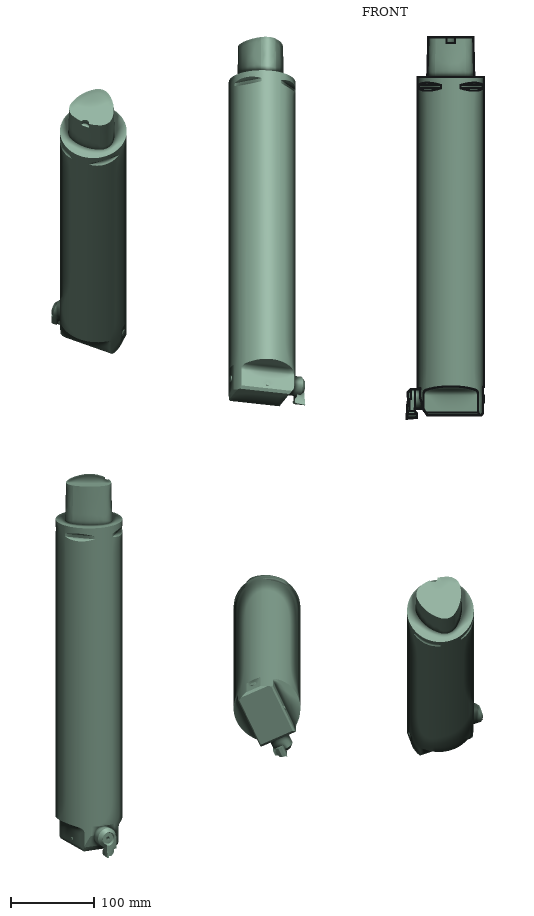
import cadquery as cq
import math

TOTAL_HEIGHT = 458
OVERALL_WIDTH = 93.5
BAR_DIAMETER = 80.0
BAR_RADIUS = BAR_DIAMETER / 2
BAR_BOTTOM = 4.0
COUPLING_HEIGHT = 47.5
SHOULDER_HEIGHT = TOTAL_HEIGHT - COUPLING_HEIGHT

LOBE_REACH = 30.0
FLANK_REACH = 25.5
LOBE_RADIUS = 16.0
HALF_LOBE_PITCH = 60
COUPLING_TAPER = 1.4
DRIVE_NOTCH_DIAMETER = 10.0
DRIVE_NOTCH_HEIGHT = 7.5
DRIVE_NOTCH_CENTRE = 25.0

GROOVE_COUNT = 4
FIRST_GROOVE_ANGLE = 45
GROOVE_HEIGHT = 398.5
GROOVE_DEPTH = 4.5
GROOVE_FLOOR_WIDTH = 3.5
GROOVE_MOUTH_WIDTH = 9.5

HEAD_THICKNESS = 46
FLAT_TOP = 33.5
RUNOUT_TOP = 39.0
RUNOUT_FILLET = 7.0
FLAT_CHAMFER_HEIGHT = 3.5
FLAT_CHAMFER_DEPTH = 2.0

SEAT_X = -36.5
SEAT_TOP = 36.5
SEAT_BOTTOM = 25.0
HEAD_SIDE_X = -32.5
HEAD_SIDE_BOTTOM = 10.5
HEAD_SIDE_BEVEL = 4.5

BACK_FLAT_X = 39.0
BACK_FLAT_TOP = 38.5
BACK_BEVEL = 2.7
BACK_PLUG_DIAMETER = 8.2
SIDE_PLUG_DIAMETER = 4.5
SIDE_PLUG_HEIGHT = 13.0
PLUG_RISE = 1.15

UNIT_DIAMETER = 24.0
UNIT_RADIUS = UNIT_DIAMETER / 2
UNIT_AXIS_HEIGHT = 24.0
UNIT_BACK_X = -43.0
UNIT_RIM_X = -47.5
UNIT_CROWN_X = -52.5
UNIT_CROWN_RADIUS = 25.0
SPOTFACE_DIAMETER = 13.7
SPOTFACE_X = -50.0
SPOTFACE_TAPER = 30
SOCKET_WIDTH = 4.5
SOCKET_DEPTH = 3.5

ARM_SHOULDER_HEIGHT = 9.5
ARM_BOTTOM = 2.0
ARM_FACE_Y = 2.5
ARM_SIDE_Y = -8.0
ARM_FOOT_Y = -3.5
ARM_SLOPE_TOP = 6.0
ARM_FOOT_X = -40.5
ARM_FLARE_TOP = 9.0

TIP_X = BAR_RADIUS - OVERALL_WIDTH
INSERT_SIDE = 13.0
INSERT_THICKNESS = 2.0
INSERT_EDGE_TILT = 5


def polar(radius, degrees):
    angle = math.radians(degrees)
    return radius * math.cos(angle), radius * math.sin(angle)


def coupling():
    """Three lobe arcs and three tangent flank arcs, drawn in towards the top."""
    lobe_centre = LOBE_REACH - LOBE_RADIUS
    flank_radius = (
        lobe_centre**2 - lobe_centre * FLANK_REACH + FLANK_REACH**2 - LOBE_RADIUS**2
    ) / (2 * FLANK_REACH - 2 * LOBE_RADIUS - lobe_centre)
    flank_half_angle = math.degrees(math.asin(
        lobe_centre * math.sin(math.radians(HALF_LOBE_PITCH)) / (flank_radius - LOBE_RADIUS)
    ))
    centre_x, centre_y = polar(flank_radius - FLANK_REACH, 90)
    end_x, end_y = polar(flank_radius, -90 + flank_half_angle)
    joint_x, joint_y = centre_x + end_x, centre_y + end_y
    joint_radius = math.hypot(joint_x, joint_y)
    joint_angle = math.degrees(math.atan2(joint_y, joint_x))

    outline = cq.Workplane("XY").workplane(offset=SHOULDER_HEIGHT)
    outline = outline.moveTo(*polar(joint_radius, -180 - joint_angle))
    for flank_angle in (-90, 30, 150):
        flank_end = polar(joint_radius, flank_angle + 90 + joint_angle)
        lobe_end = polar(joint_radius, flank_angle + 2 * HALF_LOBE_PITCH - 90 - joint_angle)
        outline = outline.threePointArc(polar(FLANK_REACH, flank_angle), flank_end)
        outline = outline.threePointArc(polar(LOBE_REACH, flank_angle + HALF_LOBE_PITCH), lobe_end)
    body = outline.close().extrude(COUPLING_HEIGHT, taper=COUPLING_TAPER)

    notch = (
        cq.Workplane("XY").workplane(offset=TOTAL_HEIGHT - DRIVE_NOTCH_HEIGHT)
        .center(0, -DRIVE_NOTCH_CENTRE)
        .circle(DRIVE_NOTCH_DIAMETER / 2)
        .extrude(DRIVE_NOTCH_HEIGHT)
    )
    return body.cut(notch)


def gripper_groove(angle):
    """Straight trapezoidal groove across the bar, facing the given direction."""
    floor_x = BAR_RADIUS - GROOVE_DEPTH
    half_floor = GROOVE_FLOOR_WIDTH / 2
    half_mouth = GROOVE_MOUTH_WIDTH / 2
    return (
        cq.Workplane("XZ", origin=(0, 0, GROOVE_HEIGHT))
        .moveTo(floor_x, -half_floor)
        .lineTo(BAR_RADIUS, -half_mouth)
        .lineTo(BAR_RADIUS, half_mouth)
        .lineTo(floor_x, half_floor)
        .close()
        .extrude(BAR_RADIUS, both=True)
        .rotate((0, 0, 0), (0, 0, 1), angle)
    )


def flat_cutter():
    """Waste beside the +Y flat of the head, with its sloping run-out and bottom chamfer."""
    flat_y = HEAD_THICKNESS / 2
    cutter = (
        cq.Workplane("YZ")
        .moveTo(flat_y - FLAT_CHAMFER_DEPTH, BAR_BOTTOM)
        .lineTo(flat_y, BAR_BOTTOM + FLAT_CHAMFER_HEIGHT)
        .lineTo(flat_y, FLAT_TOP)
        .lineTo(BAR_RADIUS, RUNOUT_TOP)
        .lineTo(BAR_RADIUS, BAR_BOTTOM)
        .close()
        .extrude(BAR_RADIUS, both=True)
    )
    inner_corner = cq.selectors.NearestToPointSelector((0, flat_y, FLAT_TOP))
    return cutter.edges(inner_corner).fillet(RUNOUT_FILLET)


def seat_cutter():
    """Waste in front of the boss seat, the slope under it and the bottom bevel."""
    return (
        cq.Workplane("XZ")
        .moveTo(-BAR_RADIUS, SEAT_TOP)
        .lineTo(SEAT_X, SEAT_TOP)
        .lineTo(SEAT_X, SEAT_BOTTOM)
        .lineTo(HEAD_SIDE_X, HEAD_SIDE_BOTTOM)
        .lineTo(HEAD_SIDE_X + HEAD_SIDE_BEVEL, BAR_BOTTOM)
        .lineTo(-BAR_RADIUS, BAR_BOTTOM)
        .close()
        .extrude(BAR_RADIUS, both=True)
    )


def back_cutter():
    """Waste outside the narrow flat opposite the seat, with a bottom bevel."""
    return (
        cq.Workplane("XZ")
        .moveTo(BAR_RADIUS, BACK_FLAT_TOP)
        .lineTo(BACK_FLAT_X, BACK_FLAT_TOP)
        .lineTo(BACK_FLAT_X, BAR_BOTTOM + BACK_BEVEL)
        .lineTo(BACK_FLAT_X - BACK_BEVEL, BAR_BOTTOM)
        .lineTo(BAR_RADIUS, BAR_BOTTOM)
        .close()
        .extrude(BAR_RADIUS, both=True)
    )


def rod_along_x(diameter, start_x, end_x):
    """A cylinder on the axis of the cutting unit."""
    return (
        cq.Workplane("YZ", origin=(start_x, 0, UNIT_AXIS_HEIGHT))
        .circle(diameter / 2)
        .extrude(end_x - start_x)
    )


def make_bar():
    shank = (
        cq.Workplane("XY").workplane(offset=BAR_BOTTOM)
        .circle(BAR_RADIUS)
        .extrude(SHOULDER_HEIGHT - BAR_BOTTOM)
    )
    for index in range(GROOVE_COUNT):
        shank = shank.cut(gripper_groove(FIRST_GROOVE_ANGLE + index * 360 / GROOVE_COUNT))
    flat_waste = flat_cutter()
    shank = shank.cut(flat_waste).cut(flat_waste.mirror("XZ"))
    shank = shank.cut(seat_cutter()).cut(back_cutter())

    boss = rod_along_x(UNIT_DIAMETER, UNIT_BACK_X, 0)
    back_plug = rod_along_x(BACK_PLUG_DIAMETER, 0, BACK_FLAT_X + PLUG_RISE)
    side_plug = (
        cq.Workplane("XZ", origin=(0, 0, SIDE_PLUG_HEIGHT))
        .circle(SIDE_PLUG_DIAMETER / 2)
        .extrude(-(HEAD_THICKNESS / 2 + PLUG_RISE))
    )
    return shank.union(boss).union(back_plug).union(side_plug).union(coupling())


def make_insert():
    """Three-cornered plate standing on its nose, with the rake face towards +Y."""
    lower_end_x, lower_end_z = polar(INSERT_SIDE, INSERT_EDGE_TILT)
    upper_end_x, upper_end_z = polar(INSERT_SIDE, 90 - INSERT_EDGE_TILT)
    return (
        cq.Workplane("XZ", origin=(TIP_X, ARM_FACE_Y, 0))
        .moveTo(0, 0)
        .lineTo(lower_end_x, lower_end_z)
        .lineTo(upper_end_x, upper_end_z)
        .close()
        .extrude(INSERT_THICKNESS)
    )


def unit_disc():
    """Round part of the unit with a 45 degree conical front."""
    cone_length = UNIT_RIM_X - UNIT_CROWN_X
    disc = rod_along_x(UNIT_DIAMETER, UNIT_CROWN_X, UNIT_BACK_X)
    return disc.faces("<X").chamfer(cone_length)


def unit_arm():
    """Arm that runs down from the disc and widens backwards into a foot."""
    front_outline = (
        cq.Workplane("YZ", origin=(UNIT_CROWN_X, 0, 0))
        .moveTo(-UNIT_RADIUS, UNIT_AXIS_HEIGHT)
        .lineTo(-UNIT_RADIUS, ARM_SHOULDER_HEIGHT)
        .lineTo(ARM_SIDE_Y, ARM_SHOULDER_HEIGHT)
        .lineTo(ARM_SIDE_Y, ARM_SLOPE_TOP)
        .lineTo(ARM_FOOT_Y, ARM_BOTTOM)
        .lineTo(ARM_FACE_Y, ARM_BOTTOM)
        .lineTo(ARM_FACE_Y, UNIT_AXIS_HEIGHT)
        .close()
        .extrude(ARM_FOOT_X - UNIT_CROWN_X)
    )
    side_outline = (
        cq.Workplane("XZ")
        .moveTo(UNIT_CROWN_X, ARM_BOTTOM)
        .lineTo(ARM_FOOT_X, ARM_BOTTOM)
        .lineTo(ARM_FOOT_X, ARM_SLOPE_TOP)
        .lineTo(UNIT_BACK_X, ARM_FLARE_TOP)
        .lineTo(UNIT_BACK_X, UNIT_AXIS_HEIGHT)
        .lineTo(UNIT_CROWN_X, UNIT_AXIS_HEIGHT)
        .close()
        .extrude(UNIT_RADIUS, both=True)
    )
    return front_outline.intersect(side_outline)


def make_cutting_unit(insert):
    crown = (
        cq.Workplane("XY", origin=(UNIT_CROWN_X + UNIT_CROWN_RADIUS, 0, 0))
        .circle(UNIT_CROWN_RADIUS)
        .extrude(UNIT_AXIS_HEIGHT + UNIT_RADIUS)
    )
    unit = unit_disc().union(unit_arm()).intersect(crown)
    spotface = (
        cq.Workplane("YZ", origin=(SPOTFACE_X, 0, UNIT_AXIS_HEIGHT))
        .circle(SPOTFACE_DIAMETER / 2)
        .extrude(UNIT_CROWN_X - SPOTFACE_X, taper=-SPOTFACE_TAPER)
    )
    socket = (
        cq.Workplane("YZ", origin=(SPOTFACE_X, 0, UNIT_AXIS_HEIGHT))
        .transformed(rotate=(0, 0, 90))
        .polygon(6, SOCKET_WIDTH)
        .extrude(SOCKET_DEPTH)
    )
    return unit.cut(spotface).cut(socket).cut(insert)


insert = make_insert()
cutting_unit = make_cutting_unit(insert)
bar = make_bar()
result = cq.Compound.makeCompound([bar.val(), cutting_unit.val(), insert.val()])